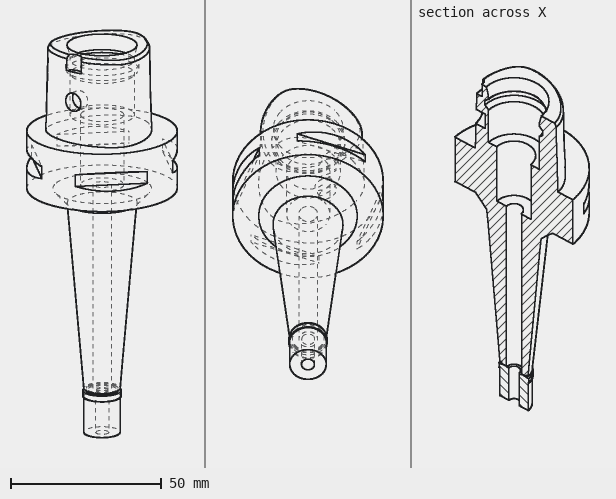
import cadquery as cq
import math

total_height = 135.0
flange_top = 105.0
flange_bottom = 85.0
collar_bottom = 80.0
neck_top = 15.4
nut_top = 14.6
nut_rim_bottom = 12.5

flange_radius = 25.0
collar_radius = 16.3
stem_top_radius = 11.6
stem_bottom_radius = 6.1
neck_radius = 5.3
nut_rim_radius = 6.3
nut_radius = 6.1

shank_mean_radius = 17.5
lobe_height = 1.15
shank_taper_inset = 0.7
shank_chamfer_inset = 0.8
shank_chamfer_height = 1.4
lobe_count = 3
curve_points = 36

mouth_radius = 11.6
socket_groove_radius = 12.2
socket_radius = 10.7
mouth_taper_depth = 3.8
mouth_depth = 5.1
groove_flare_depth = 6.6
groove_wall_depth = 8.4
groove_end_depth = 9.9
socket_depth = 24.3
mid_bore_radius = 7.2
mid_bore_depth = 48.6
coolant_bore_radius = 3.1
nut_bore_radius = 2.2

notch_radius = 3.2
notch_depth = 5.4
notch_center_y = -16.7
side_hole_radius = 3.1
side_hole_z = 119.2
side_hole_floor_y = -12.2

slot_count = 4
slot_first_angle = 45.0
slot_floor_distance = 21.9
slot_floor_height = 4.0
slot_mouth_height = 6.5
slot_z = 95.3


def lobed_wire(inset, z):
    """Closed three-lobed curve, moved inward by inset, with one lobe toward +Y."""
    points = []
    for index in range(curve_points):
        angle = 2 * math.pi * index / curve_points
        lobe_angle = lobe_count * (angle - math.pi / 2)
        support = shank_mean_radius - inset + lobe_height * math.cos(lobe_angle)
        slope = -lobe_count * lobe_height * math.sin(lobe_angle)
        x = support * math.cos(angle) - slope * math.sin(angle)
        y = support * math.sin(angle) + slope * math.cos(angle)
        points.append(cq.Vector(x, y, z))
    return cq.Wire.assembleEdges([cq.Edge.makeSpline(points, periodic=True)])


def make_shank():
    """Tapered lobed shank with a chamfered top edge."""
    chamfer_start = total_height - shank_chamfer_height
    base = lobed_wire(0, flange_top)
    shoulder = lobed_wire(shank_taper_inset, chamfer_start)
    top = lobed_wire(shank_taper_inset + shank_chamfer_inset, total_height)
    taper = cq.Solid.makeLoft([base, shoulder], True)
    chamfer = cq.Solid.makeLoft([shoulder, top], True)
    return cq.Workplane(taper).union(cq.Workplane(chamfer))


def make_turned_body():
    """Flange, conical collar, tapered stem and short neck."""
    profile = [
        (0, flange_top),
        (flange_radius, flange_top),
        (flange_radius, flange_bottom),
        (collar_radius, flange_bottom),
        (stem_top_radius, collar_bottom),
        (stem_bottom_radius, neck_top),
        (neck_radius, neck_top),
        (neck_radius, nut_top),
        (0, nut_top),
    ]
    return cq.Workplane("XZ").polyline(profile).close().revolve(360, (0, 0), (0, 1))


def make_socket():
    """Stepped bore with a tapered mouth and an internal clamping groove below its mouth."""
    socket_floor = total_height - socket_depth
    mid_bore_floor = total_height - mid_bore_depth
    profile = [
        (0, total_height),
        (mouth_radius, total_height),
        (socket_radius, total_height - mouth_taper_depth),
        (socket_radius, total_height - mouth_depth),
        (socket_groove_radius, total_height - groove_flare_depth),
        (socket_groove_radius, total_height - groove_wall_depth),
        (socket_radius, total_height - groove_end_depth),
        (socket_radius, socket_floor),
        (mid_bore_radius, socket_floor),
        (mid_bore_radius, mid_bore_floor),
        (coolant_bore_radius, mid_bore_floor),
        (coolant_bore_radius, nut_top),
        (0, nut_top),
    ]
    return cq.Workplane("XZ").polyline(profile).close().revolve(360, (0, 0), (0, 1))


def make_notch():
    """Round-backed keyway cutter at the top edge of the shank."""
    notch = cq.Workplane("XY", origin=(0, notch_center_y, total_height - notch_depth))
    return notch.circle(notch_radius).extrude(notch_depth)


def make_side_hole():
    """Cutter for the blind radial hole, running out toward -Y."""
    hole = cq.Workplane("XZ", origin=(0, side_hole_floor_y, side_hole_z))
    return hole.circle(side_hole_radius).extrude(flange_radius + side_hole_floor_y)


def make_gripper_slot(angle):
    """Straight slot cutter with a flat floor and sloping upper and lower flanks."""
    profile = [
        (slot_floor_distance, slot_z - slot_floor_height / 2),
        (flange_radius, slot_z - slot_mouth_height / 2),
        (flange_radius, slot_z + slot_mouth_height / 2),
        (slot_floor_distance, slot_z + slot_floor_height / 2),
    ]
    slot = cq.Workplane("XZ").polyline(profile).close().extrude(flange_radius, both=True)
    return slot.rotate((0, 0, 0), (0, 0, 1), angle)


def make_holder():
    """Tool holder with its shank, flange, stem and bores."""
    holder = make_turned_body().union(make_shank())
    holder = holder.cut(make_socket()).cut(make_notch()).cut(make_side_hole())
    for index in range(slot_count):
        angle = slot_first_angle + index * 360 / slot_count
        holder = holder.cut(make_gripper_slot(angle))
    return holder


def make_nut():
    """Rimmed clamping nut against the end of the holder's neck."""
    nut = cq.Workplane("XY").circle(nut_radius).extrude(nut_top)
    rim = cq.Workplane("XY", origin=(0, 0, nut_rim_bottom)).circle(nut_rim_radius)
    nut = nut.union(rim.extrude(nut_top - nut_rim_bottom))
    bore = cq.Workplane("XY").circle(nut_bore_radius).extrude(nut_top)
    return nut.cut(bore)


holder = make_holder()
nut = make_nut()

result = cq.Compound.makeCompound([holder.solids().val(), nut.solids().val()])